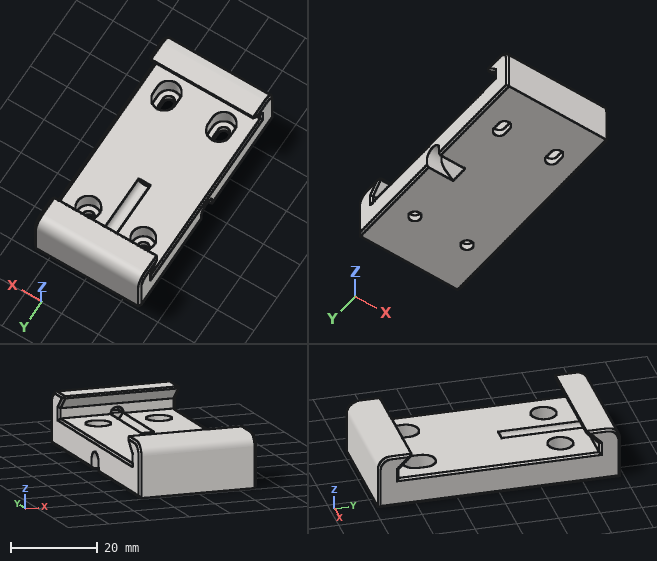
import cadquery as cq

width = 29.0
length = 58.0
height = 13.0
floor_height = 7.0
wall_thickness = 5.0
corner_radius = 3.0
edge_chamfer = 0.5

lip_reach = 3.0
lip_tip_height = 0.5

screw_diameter = 3.0
counterbore_diameter = 6.0
counterbore_depth = 5.0
screw_spacing = 15.0
hole_y = 16.5
slot_y = -17.45
slot_travel = 2.0

channel_diameter = 3.2
channel_start_y = 4.0
channel_wall_depth = 1.0
channel_upper_depth = 3.5

notch_width = 4.65
notch_height = 4.5
notch_depth = 3.0

half_length = length / 2
inner_y = half_length - wall_thickness
tip_y = inner_y - lip_reach
sharp_tip_y = tip_y - lip_tip_height
lip_root_z = height - (inner_y - sharp_tip_y)


def body_profile(inset):
    """Side profile with sharp lip tips, moved inwards by inset along every edge."""
    lip_shift = inset * 2 ** 0.5
    outer = half_length - inset
    top = height - inset
    inner = inner_y + inset
    radius = corner_radius - inset
    root_z = lip_root_z - inset + lip_shift
    tip = inner - (top - root_z)
    shoulder = outer - radius
    round_z = top - radius
    diagonal = radius * 0.5 ** 0.5
    floor = floor_height - inset
    return (
        cq.Workplane("YZ")
        .moveTo(-outer, inset)
        .lineTo(outer, inset)
        .lineTo(outer, round_z)
        .threePointArc((shoulder + diagonal, round_z + diagonal), (shoulder, top))
        .lineTo(tip, top)
        .lineTo(inner, root_z)
        .lineTo(inner, floor)
        .lineTo(-inner, floor)
        .lineTo(-inner, root_z)
        .lineTo(-tip, top)
        .lineTo(-shoulder, top)
        .threePointArc((-shoulder - diagonal, round_z + diagonal), (-outer, round_z))
        .close()
    )


def chamfered_end():
    """Tapered slice that chamfers the +X end of the body."""
    start_x = width / 2 - edge_chamfer
    large = body_profile(0).wires().val().moved(cq.Location(cq.Vector(start_x, 0, 0)))
    small = body_profile(edge_chamfer).wires().val().moved(cq.Location(cq.Vector(width / 2, 0, 0)))
    return cq.Workplane(cq.Solid.makeLoft([large, small], True))


def lip_trimmer():
    """Space between the blunt lip tips, flared at both ends to chamfer them."""
    flare_x = width / 2 - edge_chamfer
    flare_y = tip_y + edge_chamfer
    outline = [
        (-width / 2, -flare_y),
        (-flare_x, -tip_y),
        (flare_x, -tip_y),
        (width / 2, -flare_y),
        (width / 2, flare_y),
        (flare_x, tip_y),
        (-flare_x, tip_y),
        (-width / 2, flare_y),
    ]
    base_z = (floor_height + height) / 2
    return cq.Workplane("XY", origin=(0, 0, base_z)).polyline(outline).close().extrude(height - base_z)


def slot_pair(y, travel, diameter, bottom_z):
    """Pair of slot cutters up to the floor; zero travel gives round holes."""
    cutter = cq.Workplane("XY", origin=(0, y, bottom_z)).rarray(screw_spacing, 0.6, 2, 1)
    depth = floor_height - bottom_z
    if travel == 0:
        return cutter.circle(diameter / 2).extrude(depth)
    return cutter.slot2D(travel + diameter, diameter, 90).extrude(depth)


def channel_cylinder(wall_depth):
    """Cylinder centred on the floor surface, ending wall_depth inside the +Y wall."""
    return (
        cq.Workplane("XZ", origin=(0, channel_start_y, floor_height))
        .circle(channel_diameter / 2)
        .extrude(-(inner_y + wall_depth - channel_start_y))
    )


def floor_channel():
    """Round channel along Y; its upper half runs deeper into the wall."""
    upper_space = cq.Workplane("XY", origin=(0, 0, floor_height)).box(
        width, length, height, centered=(True, True, False)
    )
    upper = channel_cylinder(channel_upper_depth).intersect(upper_space)
    return channel_cylinder(channel_wall_depth).union(upper)


def side_notch():
    """Round-topped notch closed by a 45 degree end face that slopes down to the underside."""
    radius = notch_width / 2
    spring_z = notch_height - radius
    tunnel = (
        cq.Workplane("YZ", origin=(-width / 2, 0, 0))
        .moveTo(-radius, 0)
        .lineTo(radius, 0)
        .lineTo(radius, spring_z)
        .threePointArc((0, notch_height), (-radius, spring_z))
        .close()
        .extrude(notch_depth + notch_height)
    )
    end_x = -width / 2 + notch_depth + notch_height
    sloped_end = (
        cq.Workplane("XZ")
        .polyline([(end_x, 0), (end_x, notch_height), (end_x - notch_height, notch_height)])
        .close()
        .extrude(radius, both=True)
    )
    return tunnel.cut(sloped_end)


end = chamfered_end()
middle = body_profile(0).extrude(width / 2 - edge_chamfer, both=True)
body = middle.union(end).union(end.mirror("YZ")).cut(lip_trimmer())

for y, travel in ((hole_y, 0), (slot_y, slot_travel)):
    body = body.cut(slot_pair(y, travel, screw_diameter, 0))
    body = body.cut(slot_pair(y, travel, counterbore_diameter, floor_height - counterbore_depth))

result = body.cut(floor_channel()).cut(side_notch())